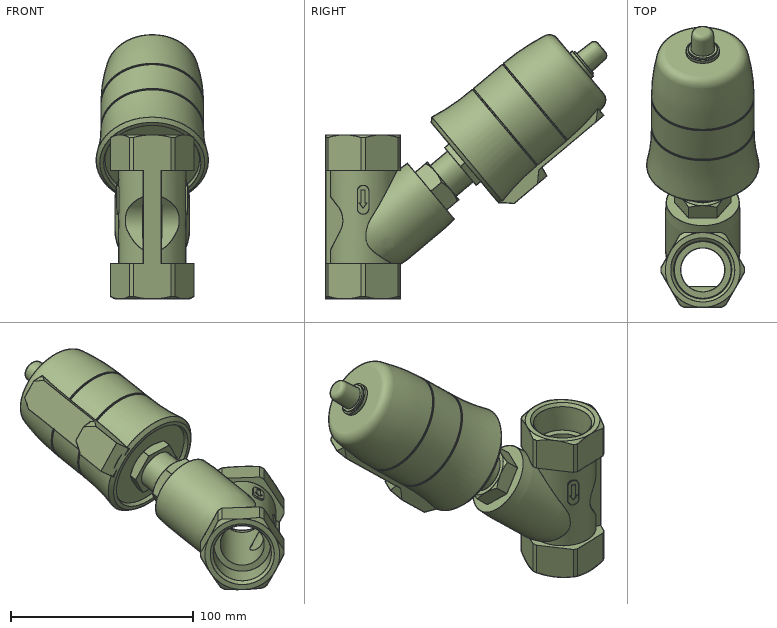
import cadquery as cq
import math


body_height = 90.0
body_diameter = 37
hex_flats = 41.0
hex_corner_diameter = 45.9
hex_length = 19.5
hex_chamfer_angle = 30
bore_diameter = 24.0
port_diameter = 31.1
port_depth = 17
port_taper_diameter = 31.9
port_straight_length = 2.5
port_mouth_diameter = 35.1
port_mouth_depth = 1.7
rib_face_width = 9.5
rib_root = 10.0
rib_root_width = 11.1

notch_tip_y = -9.0
notch_tip_z = -0.6
notch_upper_slope = 0.76
notch_lower_slope = 0.51
notch_radius = 12.3
seat_wall = 2.2

pad_width = 6.3
pad_length = 15.9
pad_center_z = 9.4
pad_face_x = 19.3
arrow_height = 0.3
arrow_top_z = 14.6
arrow_tip_z = 4.8
arrow_head_length = 3.0
arrow_head_width = 4.3
arrow_shaft_width = 2.2

branch_angle = 40
branch_start_z = -17.1
branch_diameter = 41.0
branch_root_station = -1.5
branch_round_start = 8.5
branch_round_end = 15.4
branch_root_angle = 14
collar_start = 41.6
collar_end = 48.5
collar_diameter = 40
gland_flats = 27.0
gland_chamfer_angle = 30
gland_end = 57.3
neck_diameter = 22.0
lock_nut_start = 69.6

housing_start = 72.9
rim_radius = 28.8
rim_lip_station = 75.0
rim_lip_radius = 30.8
waist_radius = 28.2
waist_start = 101.8
waist_end = 123.2
shoulder_station = 151
shoulder_radius = 25.3
housing_end = 155.4
cap_flat_radius = 20.5
skirt_sag_share = 0.3
groove_width = 0.8
groove_depth = 0.3
recess_diameter = 51.8
recess_mouth_diameter = 53.3
recess_depth = 2.3

flange_diameter = 18.2
flange_top = 157.3
step_diameter = 16.0
step_top = 158.3
pin_base_radius = 6.5
pin_tip_radius = 6.0
pin_dome_start = 168.2
pin_end = 170.8
pin_flat_radius = 3.4

air_block_width = 18.5
air_block_start = 73.8
air_block_end = 103.7
air_block_drop = 34.5
air_block_bevel = 5.2
air_block_draft = 1.1
air_block_lean = 6.5
air_rail_end = 147.9
air_rail_drop = 29.1
air_rail_lean = 4.3
air_corner = 6.2
air_corner_angle = 45
air_corner_setback = 1.4

half_height = body_height / 2
hex_face_z = half_height - hex_length

tilt = math.radians(branch_angle)
axis_direction = cq.Vector(0, math.cos(tilt), math.sin(tilt))
branch_plane = cq.Plane(
    origin=(0, 0, branch_start_z), xDir=axis_direction.toTuple(), normal=(1, 0, 0)
)


def cylinder(diameter, bottom, top):
    """Cylinder on the pipe axis."""
    return cq.Workplane("XY").workplane(offset=bottom).circle(diameter / 2).extrude(top - bottom)


def across_corners(flats):
    return flats / math.cos(math.pi / 6)


def branch_turned(profile):
    """Revolve a profile drawn in (station, radius) about the branch axis."""
    return profile.close().revolve(360, (0, 0, 0), (1, 0, 0))


def branch_profile():
    return cq.Workplane(branch_plane)


def branch_disc(diameter, start, end):
    return branch_turned(
        branch_profile().moveTo(start, 0).lineTo(start, diameter / 2)
        .lineTo(end, diameter / 2).lineTo(end, 0)
    )


def branch_hex(flats, start, end):
    """Hexagon on the branch axis, corners facing +X and -X, its housing end chamfered round."""
    corner_radius = across_corners(flats) / 2
    chamfer_length = (corner_radius - flats / 2) * math.tan(math.radians(gland_chamfer_angle))
    blank = branch_turned(
        branch_profile().moveTo(start, 0)
        .lineTo(start, corner_radius)
        .lineTo(end - chamfer_length, corner_radius)
        .lineTo(end, flats / 2)
        .lineTo(end, 0)
    )
    base = cq.Plane(
        origin=branch_plane.toWorldCoords((start, 0, 0)).toTuple(),
        xDir=(1, 0, 0), normal=axis_direction.toTuple(),
    )
    hexagon = cq.Workplane(base).polygon(6, across_corners(flats)).extrude(end - start)
    return hexagon.intersect(blank)


def end_hex():
    """Top pipe hexagon, corners turned down and outer end chamfered."""
    corner_radius = hex_corner_diameter / 2
    chamfer_height = (corner_radius - hex_flats / 2) * math.tan(math.radians(hex_chamfer_angle))
    hexagon = (
        cq.Workplane("XY").workplane(offset=hex_face_z)
        .polygon(6, across_corners(hex_flats)).extrude(hex_length)
    )
    blank = (
        cq.Workplane("XZ").moveTo(0, hex_face_z)
        .lineTo(corner_radius, hex_face_z)
        .lineTo(corner_radius, half_height - chamfer_height)
        .lineTo(hex_flats / 2, half_height)
        .lineTo(0, half_height).close()
        .revolve(360, (0, 0, 0), (0, 1, 0))
    )
    return hexagon.intersect(blank)


def threaded_port():
    """Cutter for the top pipe port: straight run-out, slight taper and flared mouth."""
    floor = half_height - port_depth
    return (
        cq.Workplane("XZ").moveTo(0, floor)
        .lineTo(port_diameter / 2, floor)
        .lineTo(port_diameter / 2, floor + port_straight_length)
        .lineTo(port_taper_diameter / 2, half_height - port_mouth_depth)
        .lineTo(port_mouth_diameter / 2, half_height)
        .lineTo(0, half_height).close()
        .revolve(360, (0, 0, 0), (0, 1, 0))
    )


def notch_prism(tip_y):
    """Rounded V running along X whose sides open toward -Y."""
    open_y = -hex_flats
    depth = tip_y - open_y
    prism = (
        cq.Workplane("YZ").moveTo(tip_y, notch_tip_z)
        .lineTo(open_y, notch_tip_z + depth / notch_upper_slope)
        .lineTo(open_y, notch_tip_z - depth / notch_lower_slope).close()
        .extrude(body_diameter / 2, both=True)
    )
    return prism.edges(">Y").fillet(notch_radius)


def front_rib():
    """Drafted web on the -Y side joining the two hexagons."""
    return (
        cq.Workplane("XY").workplane(offset=-hex_face_z)
        .moveTo(-rib_face_width / 2, -hex_flats / 2)
        .lineTo(rib_face_width / 2, -hex_flats / 2)
        .lineTo(rib_root_width / 2, -rib_root)
        .lineTo(-rib_root_width / 2, -rib_root).close()
        .extrude(2 * hex_face_z)
    )


def arrow_pad():
    """Raised pad with a downward arrow on the +X side."""
    pad = (
        cq.Workplane("YZ").center(0, pad_center_z)
        .slot2D(pad_length, pad_width, 90).extrude(pad_face_x)
    )
    head_z = arrow_tip_z + arrow_head_length
    arrow = (
        cq.Workplane("YZ").moveTo(0, arrow_tip_z)
        .lineTo(arrow_head_width / 2, head_z)
        .lineTo(arrow_shaft_width / 2, head_z)
        .lineTo(arrow_shaft_width / 2, arrow_top_z)
        .lineTo(-arrow_shaft_width / 2, arrow_top_z)
        .lineTo(-arrow_shaft_width / 2, head_z)
        .lineTo(-arrow_head_width / 2, head_z).close()
        .extrude(pad_face_x + arrow_height)
    )
    return pad.union(arrow)


def branch():
    """Branch barrel with a rounded root, its collar, the gland hexagon and the neck."""
    radius = branch_diameter / 2
    root_tilt = math.radians(branch_root_angle)
    round_length = branch_round_end - branch_round_start
    round_drop = round_length * math.tan(root_tilt / 2)
    root_drop = (branch_round_start - branch_root_station) * math.tan(root_tilt)
    barrel = branch_turned(
        branch_profile().moveTo(branch_root_station, 0)
        .lineTo(branch_root_station, radius - round_drop - root_drop)
        .lineTo(branch_round_start, radius - round_drop)
        .tangentArcPoint((branch_round_end, radius), relative=False)
        .lineTo(collar_start, radius)
        .lineTo(collar_end, collar_diameter / 2)
        .lineTo(collar_end, 0)
    )
    gland = branch_hex(gland_flats, collar_end, gland_end)
    neck = branch_disc(neck_diameter, gland_end, lock_nut_start)
    return barrel.union(gland).union(neck)


def housing():
    skirt_mid = (rim_lip_station + waist_start) / 2
    skirt_sag = skirt_sag_share * (rim_lip_radius - waist_radius)
    skirt_mid_radius = (rim_lip_radius + waist_radius) / 2 - skirt_sag
    shell = branch_turned(
        branch_profile().moveTo(housing_start, 0)
        .lineTo(housing_start, rim_radius)
        .lineTo(rim_lip_station, rim_lip_radius)
        .threePointArc((skirt_mid, skirt_mid_radius), (waist_start, waist_radius))
        .lineTo(waist_end, waist_radius)
        .tangentArcPoint((shoulder_station, shoulder_radius), relative=False)
        .tangentArcPoint((housing_end, cap_flat_radius), relative=False)
        .lineTo(housing_end, 0)
    )
    for station in (waist_start, waist_end):
        ring = branch_disc(2 * rim_lip_radius, station, station + groove_width)
        core = branch_disc(2 * (waist_radius - groove_depth), station, station + groove_width)
        shell = shell.cut(ring.cut(core))
    return shell


def rim_recess():
    """Cutter for the shallow recess inside the open rim."""
    floor = housing_start + recess_depth
    return branch_turned(
        branch_profile().moveTo(housing_start, 0)
        .lineTo(housing_start, recess_mouth_diameter / 2)
        .lineTo(floor, recess_diameter / 2)
        .lineTo(floor, 0)
    )


def indicator():
    flange = branch_disc(flange_diameter, housing_end, flange_top)
    step = branch_disc(step_diameter, flange_top, step_top)
    pin = branch_turned(
        branch_profile().moveTo(step_top, 0)
        .lineTo(step_top, pin_base_radius)
        .lineTo(pin_dome_start, pin_tip_radius)
        .tangentArcPoint((pin_end, pin_flat_radius), relative=False)
        .lineTo(pin_end, 0)
    )
    return flange.union(step).union(pin)


def end_corner_cut(end, top, drop, lean):
    """Wedge beveling the +X far corner of a block along a line leaning back to its outer face."""
    half_width = air_block_width / 2
    reach = 2 * air_corner
    slope = lean / (drop - top)
    side_end = end - air_corner_setback
    bevel = (
        cq.Workplane(branch_plane).workplane(offset=half_width)
        .moveTo(side_end + slope * reach, -top + reach)
        .lineTo(side_end + reach + air_corner, -top + reach)
        .lineTo(side_end + reach + air_corner, -drop - reach)
        .lineTo(side_end - slope * (drop - top + reach), -drop - reach).close()
    )
    return bevel.extrude(-air_corner, taper=air_corner_angle)


def air_ports():
    """Stepped block along the underside of the housing, with beveled far corners."""
    inner = -waist_radius / 2
    half_width = air_block_width / 2
    rail = (
        branch_profile().moveTo(rim_lip_station, inner)
        .lineTo(rim_lip_station, -air_rail_drop)
        .lineTo(air_rail_end, -air_rail_drop)
        .lineTo(air_rail_end, inner).close()
        .extrude(half_width, both=True)
    )
    block = (
        branch_profile().moveTo(air_block_start, inner)
        .lineTo(air_block_start, -air_block_drop + air_block_bevel)
        .lineTo(air_block_start + air_block_bevel, -air_block_drop)
        .lineTo(air_block_end - air_block_draft, -air_block_drop)
        .lineTo(air_block_end, -air_rail_drop)
        .lineTo(air_block_end, inner).close()
        .extrude(half_width, both=True)
    )
    rail_cut = end_corner_cut(air_rail_end, shoulder_radius, air_rail_drop, air_rail_lean)
    block_cut = end_corner_cut(air_block_end, waist_radius, air_block_drop, air_block_lean)
    for cut in (rail_cut, rail_cut.mirror("YZ")):
        rail = rail.cut(cut)
    for cut in (block_cut, block_cut.mirror("YZ")):
        block = block.cut(cut)
    return rail.union(block)


barrel_core = cylinder(body_diameter, -hex_face_z, hex_face_z)
top_hex = end_hex()
body = barrel_core.union(top_hex).union(top_hex.mirror("XY"))
pad = arrow_pad()
body = body.union(pad).union(pad.mirror("YZ")).union(branch())

seat = notch_prism(notch_tip_y + seat_wall).intersect(barrel_core)
flow_bore = cylinder(bore_diameter, -half_height, half_height).cut(seat)
body = body.cut(notch_prism(notch_tip_y)).union(front_rib()).cut(flow_bore)
port = threaded_port()
body = body.cut(port).cut(port.mirror("XY"))

lock_nut = branch_hex(gland_flats, lock_nut_start, housing_start + recess_depth)
actuator = housing().union(air_ports()).cut(rim_recess())
actuator = actuator.union(lock_nut).union(indicator())

result = body.union(actuator)